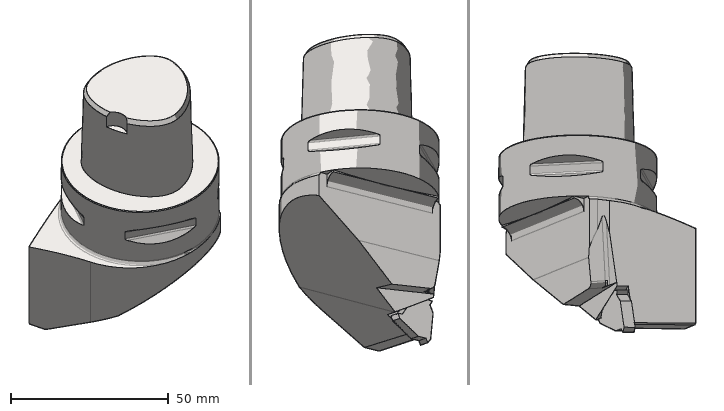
import cadquery as cq
import math


FLANGE_RADIUS = 25.0
FLANGE_HEIGHT = 20.3
FLANGE_CHAMFER = 0.3

GROOVE_COUNT = 4
GROOVE_Z = -10.15
GROOVE_FLOOR_DISTANCE = 22.1
GROOVE_FLOOR_HALF = 1.7
GROOVE_MOUTH_HALF = 3.5
GROOVE_CORNER_RADIUS = 0.75

SHANK_HEIGHT = 30.0
SHANK_BASE_RADIUS = 17.7
SHANK_SHOULDER_RADIUS = 16.9
SHANK_TOP_RADIUS = 16.0
SHANK_CHAMFER_HEIGHT = 1.5
LOBE_ECCENTRICITY = 1.0
LOBE_POINTS = 48

NOTCH_RADIUS = 4.5
NOTCH_DEEPEST_Y = -13.7
NOTCH_HEIGHT = 5.6

HEAD_FRONT_Y = -28.0
HEAD_ARC_CENTRE_X = -2.8
HEAD_ARC_RADIUS = -HEAD_FRONT_Y
HEAD_BACK_Y = 11.75
HEAD_LOW_Z = -70.5
SIDE_FRONT_X = -25.0
SIDE_BACK_X = -25.6
SIDE_BACK_Y = 5.9
CORNER_RADIUS = 25.5
CORNER_START_Y = 9.3
ROOF_ANGLE = 15.0
ROOF_FILLET = 1.2
ROOF_RADIUS = 42.3
UNDERCUT_FILLET = 3.8
UNDERCUT_DROP = 0.7

SLOPE_ANGLE = 39.4
SLOPE_TOP_Z = -26.3
RELIEF_ANGLE = 30.0
RELIEF_TILT = 8.8
RELIEF_START_X = -19.0
TOE_Z = -56.4
TOE_CHAMFER = 0.5

TILT = 10.0
SEAT_ACROSS = 7.05
RAKE_ACROSS = 11.5
JAW_BACK_ACROSS = 18.6

JAW_FACE_X = -24.6
JAW_FACE_ACROSS = 11.9
JAW_FACE_ALONG = -24.0
JAW_FACE_ANGLE = 10.0
JAW_FACE_LEAN = 5.0
JAW_STEP_ANGLE = 24.0
JAW_STEP_RADIUS = 1.4
JAW_TIP_X = -22.7
JAW_TIP_ALONG = -47.2
JAW_TIP_RADIUS = 2.1
JAW_UNDERSIDE_ANGLE = 7.0

INSERT_CENTRE_X = -21.1
INSERT_CENTRE_ALONG = -56.0
INSERT_INRADIUS = 4.8
INSERT_CORNERS = 3
INSERT_CORNER = [(-INSERT_INRADIUS, -5.5), (-3.9, -7.0), (-3.0, -5.6), (-0.2, -5.6)]

REACH = 94.0


def slope(angle):
    return math.tan(math.radians(angle))


def tilted_face(tilt, origin=(0, 0, 0)):
    """Workplane of X and "along"; extrude(-d) runs "across", to the back and down."""
    angle = math.radians(tilt)
    normal = (0, -math.cos(angle), math.sin(angle))
    return cq.Workplane(cq.Plane(origin=origin, xDir=(1, 0, 0), normal=normal))


def tilted_point(x, across, along):
    angle = math.radians(TILT)
    y = across * math.cos(angle) + along * math.sin(angle)
    z = along * math.cos(angle) - across * math.sin(angle)
    return cq.Vector(x, y, z)


def tilted_section(origin, lean=0):
    """Workplane of X and "across", looking down "along"; lean swings that direction inward."""
    shift = slope(lean)
    normal = tilted_point(-shift, 0, 1)
    x_direction = tilted_point(1, 0, shift)
    return cq.Workplane(cq.Plane(origin=origin, xDir=x_direction, normal=normal))


def lobed_wire(radius, z):
    """Three-lobed curve of constant width 2 * radius with one lobe towards +Y."""
    def point(angle):
        support = radius - LOBE_ECCENTRICITY * math.sin(3 * angle)
        turn = -3 * LOBE_ECCENTRICITY * math.cos(3 * angle)
        x = support * math.cos(angle) - turn * math.sin(angle)
        y = support * math.sin(angle) + turn * math.cos(angle)
        return cq.Vector(x, y, z)

    points = [point(2 * math.pi * i / LOBE_POINTS) for i in range(LOBE_POINTS)]
    return cq.Wire.assembleEdges([cq.Edge.makeSpline(points, periodic=True)])


def make_shank():
    shoulder_z = SHANK_HEIGHT - SHANK_CHAMFER_HEIGHT
    base = lobed_wire(SHANK_BASE_RADIUS, 0)
    shoulder = lobed_wire(SHANK_SHOULDER_RADIUS, shoulder_z)
    top = lobed_wire(SHANK_TOP_RADIUS, SHANK_HEIGHT)
    taper = cq.Workplane(cq.Solid.makeLoft([base, shoulder], True))
    rim = cq.Workplane(cq.Solid.makeLoft([shoulder, top], True))
    notch = (
        cq.Workplane("XY", origin=(0, NOTCH_DEEPEST_Y - NOTCH_RADIUS, SHANK_HEIGHT - NOTCH_HEIGHT))
        .circle(NOTCH_RADIUS)
        .extrude(NOTCH_HEIGHT)
    )
    return taper.union(rim).cut(notch)


def make_groove():
    """Gripper groove cutter on the +X side of the flange."""
    depth = FLANGE_RADIUS - GROOVE_FLOOR_DISTANCE
    flare = (GROOVE_MOUTH_HALF - GROOVE_FLOOR_HALF) / depth
    outer_half = GROOVE_FLOOR_HALF + 2 * depth * flare
    return (
        cq.Workplane("XZ", origin=(GROOVE_FLOOR_DISTANCE, FLANGE_RADIUS, GROOVE_Z))
        .moveTo(0, -GROOVE_FLOOR_HALF)
        .lineTo(2 * depth, -outer_half)
        .lineTo(2 * depth, outer_half)
        .lineTo(0, GROOVE_FLOOR_HALF)
        .close()
        .extrude(2 * FLANGE_RADIUS)
        .edges("<X")
        .fillet(GROOVE_CORNER_RADIUS)
    )


def make_flange():
    flange = (
        cq.Workplane("XY")
        .circle(FLANGE_RADIUS)
        .extrude(-FLANGE_HEIGHT)
        .faces(">Z")
        .chamfer(FLANGE_CHAMFER)
    )
    groove = make_groove()
    for i in range(GROOVE_COUNT):
        turn = 360 / GROOVE_COUNT * (i + 0.5)
        flange = flange.cut(groove.rotate((0, 0, 0), (0, 0, 1), turn))
    return flange


def make_roof_envelope():
    """Solid of revolution under the flange: a fillet running out into a conical roof."""
    angle = math.radians(ROOF_ANGLE)
    turn = math.pi / 2 - angle
    centre_r = FLANGE_RADIUS + ROOF_FILLET

    def on_fillet(swept):
        r = centre_r - ROOF_FILLET * math.cos(swept)
        z = -FLANGE_HEIGHT - ROOF_FILLET * math.sin(swept)
        return (r, z)

    roof_start = on_fillet(turn)
    roof_end_z = roof_start[1] - (ROOF_RADIUS - roof_start[0]) * math.tan(angle)
    return (
        cq.Workplane("XZ")
        .moveTo(0, -FLANGE_HEIGHT)
        .lineTo(FLANGE_RADIUS, -FLANGE_HEIGHT)
        .threePointArc(on_fillet(turn / 2), roof_start)
        .lineTo(ROOF_RADIUS, roof_end_z)
        .lineTo(ROOF_RADIUS, HEAD_LOW_Z)
        .lineTo(0, HEAD_LOW_Z)
        .close()
        .revolve(360, (0, 0, 0), (0, 1, 0))
    )


def make_head_block():
    """Upright head outline under the conical roof."""
    def corner_point(y):
        return (-math.sqrt(CORNER_RADIUS**2 - y**2), y)

    arc_end_x = HEAD_ARC_CENTRE_X + math.sqrt(HEAD_ARC_RADIUS**2 - HEAD_BACK_Y**2)
    arc_middle = HEAD_ARC_RADIUS * math.sqrt(0.5)
    block = (
        cq.Workplane("XY", origin=(0, 0, -FLANGE_HEIGHT))
        .moveTo(SIDE_FRONT_X, HEAD_FRONT_Y)
        .lineTo(SIDE_BACK_X, SIDE_BACK_Y)
        .lineTo(*corner_point(CORNER_START_Y))
        .threePointArc(corner_point((CORNER_START_Y + HEAD_BACK_Y) / 2), corner_point(HEAD_BACK_Y))
        .lineTo(arc_end_x, HEAD_BACK_Y)
        .threePointArc((HEAD_ARC_CENTRE_X + arc_middle, -arc_middle), (HEAD_ARC_CENTRE_X, HEAD_FRONT_Y))
        .close()
        .extrude(HEAD_LOW_Z + FLANGE_HEIGHT)
    )
    return block.intersect(make_roof_envelope())


def make_web():
    """Shallow conical flange underside, and the fillet from it to the back of the head."""
    slant = UNDERCUT_DROP / (FLANGE_RADIUS - HEAD_BACK_Y - UNDERCUT_FILLET)
    cone = (
        cq.Workplane("XZ")
        .moveTo(0, -FLANGE_HEIGHT)
        .lineTo(FLANGE_RADIUS, -FLANGE_HEIGHT)
        .lineTo(0, -FLANGE_HEIGHT - FLANGE_RADIUS * slant)
        .close()
        .revolve(360, (0, 0, 0), (0, 1, 0))
    )
    low_z = -FLANGE_HEIGHT - UNDERCUT_DROP
    bulge = UNDERCUT_FILLET * (1 - math.sqrt(0.5))
    blend_y = HEAD_BACK_Y + UNDERCUT_FILLET
    half_length = math.sqrt(FLANGE_RADIUS**2 - blend_y**2)
    fillet = (
        cq.Workplane("YZ")
        .moveTo(HEAD_BACK_Y, -FLANGE_HEIGHT)
        .lineTo(blend_y, -FLANGE_HEIGHT)
        .lineTo(blend_y, low_z)
        .threePointArc((HEAD_BACK_Y + bulge, low_z - bulge), (HEAD_BACK_Y, low_z - UNDERCUT_FILLET))
        .close()
        .extrude(half_length, both=True)
    )
    return cone.union(fillet)


def below_line(workplane, start, angle):
    """Cutter outline: everything below a line through start that rises at angle."""
    x, z = start
    rise = REACH * slope(angle)
    return (
        workplane.moveTo(x - REACH, z - rise)
        .lineTo(x + REACH, z + rise)
        .lineTo(x + REACH, z - 2 * REACH)
        .lineTo(x - REACH, z - 2 * REACH)
        .close()
    )


def cut_lower_end(head):
    """Main slope, the tilted relief beside the toe, and the tilted toe itself."""
    head_right = HEAD_ARC_CENTRE_X + HEAD_ARC_RADIUS
    main = below_line(cq.Workplane("XZ"), (head_right, SLOPE_TOP_Z), SLOPE_ANGLE).extrude(REACH, both=True)
    toe_edge = (0, HEAD_FRONT_Y, TOE_Z)
    relief = below_line(tilted_face(RELIEF_TILT, toe_edge), (RELIEF_START_X, 0), RELIEF_ANGLE)
    toe = below_line(tilted_face(TILT, toe_edge), (0, 0), 0)
    head = head.cut(main).cut(relief.extrude(REACH, both=True)).cut(toe.extrude(REACH, both=True))
    side_middle = tilted_point(SIDE_FRONT_X, 0, TOE_Z - HEAD_FRONT_Y * slope(-TILT))
    return head.edges(cq.NearestToPointSelector(side_middle.toTuple())).chamfer(TOE_CHAMFER)


def outer_wedge(section, angle):
    """Everything on the outer back side of a line through the section origin at angle to Y."""
    return (
        section.moveTo(-REACH * slope(angle), -REACH)
        .lineTo(REACH * slope(angle), REACH)
        .lineTo(-3 * REACH, REACH)
        .lineTo(-3 * REACH, -REACH)
        .close()
        .extrude(REACH, both=True)
    )


def cut_jaw(head):
    """Recessed jaw face with a rounded tip, jaw back, and the open space under the jaw."""
    face_origin = tilted_point(JAW_FACE_X, JAW_FACE_ACROSS, JAW_FACE_ALONG)
    step_origin = tilted_point(SIDE_BACK_X, RAKE_ACROSS, 0)
    face = outer_wedge(tilted_section(face_origin, JAW_FACE_LEAN), JAW_FACE_ANGLE)
    step = outer_wedge(tilted_section(step_origin), 90 - JAW_STEP_ANGLE)
    step_edge = cq.NearestToPointSelector(face_origin.toTuple())
    recess = face.intersect(step).edges(step_edge).fillet(JAW_STEP_RADIUS)
    step_fillet = face.intersect(step).cut(recess)

    tip = (JAW_TIP_X, JAW_TIP_ALONG)
    tip_edge = cq.NearestToPointSelector(tilted_point(JAW_TIP_X, RAKE_ACROSS, JAW_TIP_ALONG).toTuple())
    below = below_line(tilted_face(TILT), tip, -JAW_UNDERSIDE_ANGLE).extrude(REACH, both=True)
    rounded_front = face.union(below).edges(tip_edge).fillet(JAW_TIP_RADIUS).intersect(step)

    back = tilted_face(TILT).workplane(offset=-JAW_BACK_ACROSS).rect(2 * REACH, 4 * REACH).extrude(-REACH)
    rake = tilted_face(TILT).workplane(offset=-RAKE_ACROSS)
    underside = below_line(rake, tip, -JAW_UNDERSIDE_ANGLE).extrude(-REACH)
    return head.cut(rounded_front.cut(step_fillet)).cut(back).cut(underside)


def cut_seat(head):
    """Open seat whose wall lies along the upper right side of the insert."""
    wall_height = INSERT_INRADIUS / math.cos(math.radians(RELIEF_ANGLE))
    start = (INSERT_CENTRE_X, INSERT_CENTRE_ALONG + wall_height)
    face = tilted_face(TILT).workplane(offset=-SEAT_ACROSS)
    seat = below_line(face, start, -RELIEF_ANGLE).extrude(SEAT_ACROSS - RAKE_ACROSS)
    return head.cut(seat)


def make_holder():
    head = cut_seat(cut_jaw(cut_lower_end(make_head_block())))
    return make_shank().union(make_flange()).union(make_web()).union(head)


def make_insert():
    """Triangular plate with the same tooth and shoulder at each of its corners."""
    points = []
    for i in range(INSERT_CORNERS):
        turn = 2 * math.pi * i / INSERT_CORNERS
        for x, along in INSERT_CORNER:
            turned_x = x * math.cos(turn) - along * math.sin(turn)
            turned_along = x * math.sin(turn) + along * math.cos(turn)
            points.append((INSERT_CENTRE_X + turned_x, INSERT_CENTRE_ALONG + turned_along))
    face = tilted_face(TILT).workplane(offset=-SEAT_ACROSS)
    return face.polyline(points).close().extrude(SEAT_ACROSS - RAKE_ACROSS)


holder = make_holder()
insert = make_insert()
result = cq.Compound.makeCompound([*holder.val().Solids(), insert.val()])